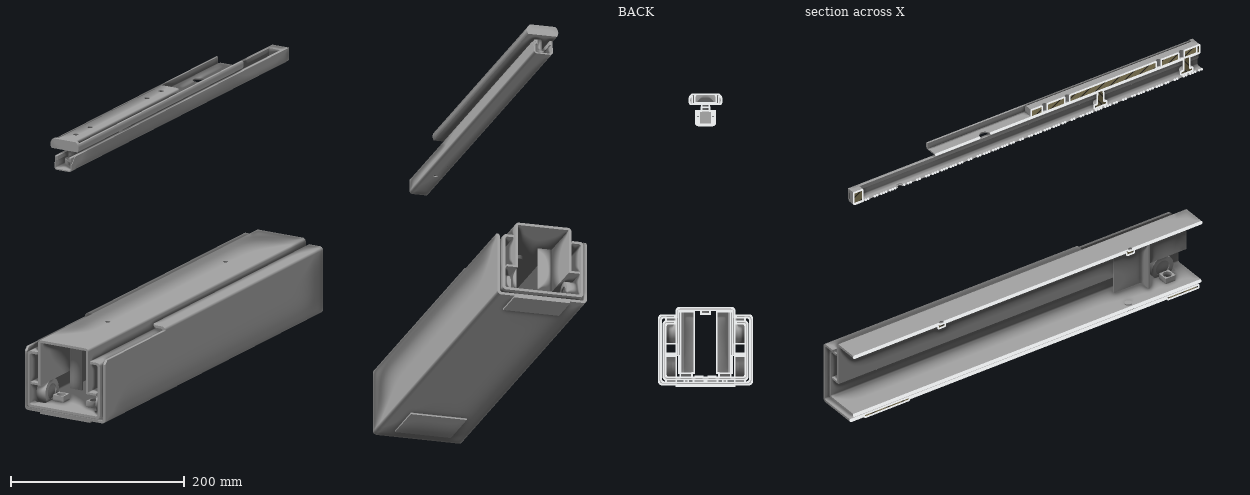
import cadquery as cq

half_length = 247.5
height = 337.0
sheet = 3.0
cut_reach = 148.5

housing_half_width = 54.0
housing_front = -242.5
housing_bottom = 2.0
housing_top = 82.0
housing_corner_radius = 4.5
lip_inner_half_width = 35.0
lip_front = -107.5
lip_end_chamfer = 5.0
wall_front_chamfer = 4.5
pad_half_width = 33.5
front_pad_length = 44.0
rear_pad_front = 164.5
rear_pad_length = 63.0

channel_rear = 242.5
middle_half_width = 48.5
middle_front = -246.0
middle_bottom = 7.5
middle_top = 75.5
middle_corner_radius = 4.0
middle_floor = middle_bottom + sheet
roller_diameter = 30.0
roller_inner_x = 33.5
roller_hub_diameter = 19.0
roller_hub_depth = 1.5
roller_outer_x = middle_half_width - sheet
roller_notch_clearance = 5.0
roller_end_clearance = 1.0
lower_roller_y = -215.5
upper_roller_y = 198.0
foot_size = 14.0
foot_height = 7.5
foot_hole_diameter = 11.0
foot_x = 22.5
foot_y = -214.0
foot_stud_diameter = 5.0
rivet_diameter = 9.0
rivet_head_height = 1.5
rivet_x = 7.5
rivet_washer_size = 13.0
rivet_y = -148.5

inner_half_width = 33.5
inner_front = -247.0
inner_top = 90.5
inner_bottom = 35.5
inner_corner_radius = 4.0
flange_half_width = 44.0
flange_thickness = 2.5
bracket_inner_x = 13.0
bracket_bottom = 15.5
bracket_top = 86.0
bracket_front = -183.5
bracket_length = 39.5
bracket_thickness = 2.0
bracket_bend_radius = 4.5
top_rivet_diameter = 11.0
top_rivet_height = 4.5
top_rivet_socket_diameter = 6.0
top_rivet_socket_depth = 2.0
top_rivet_ys = (119.0, -146.5)

rail_half_width = 11.5
rail_bottom = 300.5
rail_top = 317.5
rail_wall = 1.5
rail_corner_radius = 3.5
rail_slot_half_width = 7.5
rail_lip_depth = 5.0
rail_relief_leg = 9.0
rail_relief_depth = 0.5
rail_hole_y = 177.5
rail_hole_diameter = 6.0
rail_countersink_diameter = 9.5
end_block_length = 13.5

slide_half_width = 19.0
slide_bulge_z = 330.5
slide_base_half_width = 17.5
cap_top_half_width = 15.0
slide_floor_half_width = 12.5
slide_groove_depth = 1.0
slide_opening_half_width = 15.5
slide_bottom = 325.0
slide_top = 334.0
slide_floor_thickness = 2.0
slide_rear = 128.0
slide_front = -244.0
cap_thickness = 4.5
slide_hole_y = 58.0
slide_hole_diameter = 14.0
stud_ys = (-104.5, -226.0)
stud_collar_diameter = 9.0
stud_collar_bottom = 322.0
stud_diameter = 9.5
stud_head_diameter = 18.0
stud_head_top = 309.5

bar_half_width = slide_floor_half_width
bar_rear = -7.0
bar_corner_radius = 3.0
bar_hole_diameter = 6.5
bar_hole_ys = (-26.5, -58.0, -186.3, -218.5)


def box(x_range, y_range, z_range):
    """Axis-aligned box given by its limits."""
    (x0, x1), (y0, y1), (z0, z1) = x_range, y_range, z_range
    return cq.Workplane("XY").box(x1 - x0, y1 - y0, z1 - z0, centered=False).translate((x0, y0, z0))


def rounded_bar(half_width, y_range, z_range, radius, edges="|Y"):
    """Box centred on X = 0 with its chosen long edges rounded."""
    return box((-half_width, half_width), y_range, z_range).edges(edges).fillet(radius)


def post(diameter, x, y, z_range):
    """Upright cylinder."""
    z0, z1 = z_range
    return cq.Workplane("XY", origin=(x, y, z0)).circle(diameter / 2).extrude(z1 - z0)


def square_block(size, x, y, z_range):
    """Block with a square plan centred on x, y."""
    half = size / 2
    return box((x - half, x + half), (y - half, y + half), z_range)


def lipped_channel(half_width, y_range, z_range, wall, radius, slot_half_width):
    """Rounded sheet channel whose top is open along a slot between two lips."""
    z0, z1 = z_range
    outside = rounded_bar(half_width, y_range, z_range, radius)
    inside = rounded_bar(half_width - wall, y_range, (z0 + wall, z1 - wall), radius - wall / 2)
    slot = box((-slot_half_width, slot_half_width), y_range, (z1 - 2 * wall, z1))
    return outside.cut(inside).cut(slot)


def make_housing():
    housing = lipped_channel(housing_half_width, (housing_front, half_length), (housing_bottom, housing_top),
                             sheet, housing_corner_radius, lip_inner_half_width)

    shoulder = housing_top - housing_corner_radius
    lip_relief = (
        cq.Workplane("XY", origin=(0, 0, shoulder))
        .moveTo(-cut_reach, -half_length)
        .lineTo(-cut_reach, lip_front)
        .lineTo(-lip_inner_half_width - lip_end_chamfer, lip_front)
        .lineTo(-lip_inner_half_width, lip_front + lip_end_chamfer)
        .lineTo(lip_inner_half_width, lip_front + lip_end_chamfer)
        .lineTo(lip_inner_half_width + lip_end_chamfer, lip_front)
        .lineTo(cut_reach, lip_front)
        .lineTo(cut_reach, -half_length)
        .close()
        .extrude(housing_corner_radius)
    )
    corner_cut = (
        cq.Workplane("YZ")
        .moveTo(housing_front, shoulder)
        .lineTo(housing_front + wall_front_chamfer, shoulder)
        .lineTo(housing_front, shoulder - wall_front_chamfer)
        .close()
        .extrude(cut_reach, both=True)
    )
    housing = housing.cut(lip_relief).cut(corner_cut)

    for pad_start, pad_length in ((housing_front, front_pad_length), (rear_pad_front, rear_pad_length)):
        pad_y = (pad_start, pad_start + pad_length)
        housing = housing.union(box((-pad_half_width, pad_half_width), pad_y, (0, housing_bottom + sheet)))
    return housing


def roller(side, y, z, diameter, inner_x, outer_x):
    """Cylinder along X on the chosen side (-1 or 1)."""
    return (
        cq.Workplane("YZ", origin=(side * inner_x, y, z))
        .circle(diameter / 2)
        .extrude(side * (outer_x - inner_x))
    )


def make_middle():
    middle = lipped_channel(middle_half_width, (middle_front, channel_rear), (middle_bottom, middle_top),
                            sheet, middle_corner_radius, lip_inner_half_width)

    lower_z = housing_bottom + sheet + roller_diameter / 2
    upper_z = housing_top - sheet - roller_diameter / 2
    notch_diameter = roller_diameter + 2 * roller_notch_clearance
    hub_floor_x = roller_inner_x + roller_hub_depth
    notch_inner_x = roller_inner_x - roller_end_clearance
    for side in (-1, 1):
        for y, z in ((lower_roller_y, lower_z), (upper_roller_y, upper_z)):
            middle = middle.cut(roller(side, y, z, notch_diameter, notch_inner_x, roller_outer_x))
            middle = middle.union(roller(side, y, z, roller_diameter, roller_inner_x, roller_outer_x))
            middle = middle.cut(roller(side, y, z, roller_hub_diameter, roller_inner_x, hub_floor_x))

    gap_bottom = housing_bottom + sheet
    for side in (-1, 1):
        x = side * foot_x
        foot_z = (middle_floor, middle_floor + foot_height)
        foot = square_block(foot_size, x, foot_y, foot_z).cut(post(foot_hole_diameter, x, foot_y, foot_z))
        foot_stud = post(foot_stud_diameter, x, foot_y, (gap_bottom, middle_floor))
        rivet = post(rivet_diameter, side * rivet_x, rivet_y, (gap_bottom, middle_floor + rivet_head_height))
        washer = square_block(rivet_washer_size, side * rivet_x, rivet_y, (gap_bottom, middle_bottom))
        middle = middle.union(foot).union(foot_stud).union(rivet).union(washer)
    return middle


def bracket(side):
    """Bent plate: one leg along the inner channel wall, one leg across the channel."""
    wall_x = inner_half_width - sheet
    rear = bracket_front + bracket_length
    outside = box((bracket_inner_x, wall_x), (bracket_front, rear), (bracket_bottom, bracket_top))
    outside = outside.edges("|Z and >X and <Y").fillet(bracket_bend_radius)
    inside = box((bracket_inner_x, wall_x - bracket_thickness), (bracket_front + bracket_thickness, rear),
                 (bracket_bottom, bracket_top))
    inside = inside.edges("|Z and >X and <Y").fillet(bracket_bend_radius - bracket_thickness)
    plate = outside.cut(inside)
    return plate if side > 0 else plate.mirror("YZ")


def make_inner():
    y_range = (inner_front, channel_rear)
    inner = rounded_bar(inner_half_width, y_range, (inner_bottom, inner_top), inner_corner_radius, "|Y and >Z")
    inside_half_width = inner_half_width - sheet
    inner = inner.union(box((-flange_half_width, flange_half_width), y_range,
                            (inner_bottom, inner_bottom + flange_thickness)))
    inner = inner.cut(box((-inside_half_width, inside_half_width), y_range, (inner_bottom, inner_top - sheet)))
    for side in (-1, 1):
        inner = inner.union(bracket(side))

    underside = inner_top - sheet
    socket_z = (inner_top - top_rivet_socket_depth, inner_top)
    for y in top_rivet_ys:
        inner = inner.union(post(top_rivet_diameter, 0, y, (underside - top_rivet_height, underside)))
        inner = inner.cut(post(top_rivet_socket_diameter, 0, y, socket_z))
    return inner


def make_rail():
    y_range = (-half_length, channel_rear)
    rail = rounded_bar(rail_half_width, y_range, (rail_bottom, rail_top), rail_corner_radius, "|Y and <Z")
    floor = rail_bottom + rail_wall
    inside_half_width = rail_half_width - rail_wall
    inside = rounded_bar(inside_half_width, y_range, (floor, rail_top - rail_wall),
                         rail_corner_radius - rail_wall, "|Y and <Z")
    rail = rail.cut(inside)

    lip_z = (rail_top - rail_lip_depth, rail_top)
    for side in (-1, 1):
        hook_x = sorted((side * rail_slot_half_width, side * (rail_slot_half_width + rail_wall)))
        rail = rail.union(box(hook_x, y_range, lip_z))
    rail = rail.cut(box((-rail_slot_half_width, rail_slot_half_width), y_range, lip_z))

    for side in (-1, 1):
        relief = (
            cq.Workplane("YZ", origin=(side * rail_half_width, 0, 0))
            .moveTo(-half_length, rail_top)
            .lineTo(-half_length + rail_relief_leg, rail_top)
            .lineTo(-half_length, rail_top - rail_relief_leg)
            .close()
            .extrude(-side * rail_relief_depth)
        )
        rail = rail.cut(relief)

    rail = rail.cut(post(rail_hole_diameter, 0, rail_hole_y, (rail_bottom, floor)))
    return rail.cut(post(rail_countersink_diameter, 0, rail_hole_y, (floor - rail_wall / 2, floor)))


def make_end_block():
    y_range = (channel_rear - end_block_length, channel_rear)
    return box((-rail_slot_half_width, rail_slot_half_width), y_range, (rail_bottom + rail_wall, rail_top))


def slide_outline(y_range):
    """Full-height flat bar with bulging round sides."""
    y0, y1 = y_range
    return (
        cq.Workplane("XZ", origin=(0, y0, 0))
        .moveTo(-slide_base_half_width, slide_bottom)
        .lineTo(slide_base_half_width, slide_bottom)
        .threePointArc((slide_half_width, slide_bulge_z), (cap_top_half_width, height))
        .lineTo(-cap_top_half_width, height)
        .threePointArc((-slide_half_width, slide_bulge_z), (-slide_base_half_width, slide_bottom))
        .close()
        .extrude(y0 - y1)
    )


def make_slide():
    y_range = (slide_front, slide_rear)
    floor = slide_bottom + slide_floor_thickness
    slide = slide_outline(y_range)
    trough_z = (floor - slide_groove_depth, slide_top)
    raised_floor = box((-slide_floor_half_width, slide_floor_half_width), y_range, (slide_bottom, floor))
    trough = box((-slide_opening_half_width, slide_opening_half_width), y_range, trough_z).cut(raised_floor)
    slide = slide.cut(box((-slide_half_width, slide_half_width), y_range, (slide_top, height))).cut(trough)
    slide = slide.cut(post(slide_hole_diameter, 0, slide_hole_y, (slide_bottom, floor)))

    cap_y = (slide_front, slide_front + cap_thickness)
    slide = slide.union(slide_outline(cap_y))

    for y in stud_ys:
        slide = slide.union(post(stud_collar_diameter, 0, y, (stud_collar_bottom, slide_bottom)))
        slide = slide.union(post(stud_diameter, 0, y, (stud_head_top, stud_collar_bottom)))
        slide = slide.union(post(stud_head_diameter, 0, y, (rail_bottom + rail_corner_radius, stud_head_top)))
    return slide


def make_bar():
    floor = slide_bottom + slide_floor_thickness
    bar_front = slide_front + cap_thickness
    bar = rounded_bar(bar_half_width, (bar_front, bar_rear), (floor, height), bar_corner_radius, "|Y and >Z")
    for y in bar_hole_ys:
        bar = bar.cut(post(bar_hole_diameter, 0, y, (floor, height)))
    return bar


housing = make_housing()
middle = make_middle()
inner = make_inner()
rail = make_rail()
end_block = make_end_block()
slide = make_slide()
bar = make_bar()

bodies = [housing, middle, inner, rail, end_block, slide, bar]
result = cq.Compound.makeCompound([body.solids().val() for body in bodies])